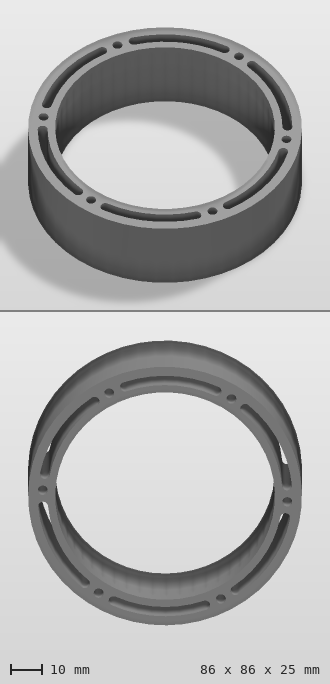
import cadquery as cq
import math

outer_diameter = 86.0
bore_diameter = 69.0
height = 25.0

pitch_radius = 38.4
hole_diameter = 3.1
slot_width = hole_diameter
station_count = 6
station_step = 360.0 / station_count
first_hole_angle = 90.0
first_slot_angle = first_hole_angle - station_step / 2
slot_half_span = 22.0


def polar(radius, angle):
    """Point at a radius and an angle in degrees about the ring axis."""
    return radius * math.cos(math.radians(angle)), radius * math.sin(math.radians(angle))


def curved_slot(middle_angle):
    """Through-cutter along the pitch circle with round ends."""
    inner = pitch_radius - slot_width / 2
    outer = pitch_radius + slot_width / 2
    start = middle_angle - slot_half_span
    end = middle_angle + slot_half_span
    tip = 2 * math.degrees(math.asin(slot_width / 4 / pitch_radius))
    return (
        cq.Workplane("XY")
        .moveTo(*polar(outer, start))
        .threePointArc(polar(outer, middle_angle), polar(outer, end))
        .threePointArc(polar(pitch_radius, end + tip), polar(inner, end))
        .threePointArc(polar(inner, middle_angle), polar(inner, start))
        .threePointArc(polar(pitch_radius, start - tip), polar(outer, start))
        .close()
        .extrude(height)
    )


result = (
    cq.Workplane("XY")
    .circle(outer_diameter / 2)
    .circle(bore_diameter / 2)
    .extrude(height)
)

holes = (
    cq.Workplane("XY")
    .polarArray(pitch_radius, first_hole_angle, 360, station_count)
    .circle(hole_diameter / 2)
    .extrude(height)
)
result = result.cut(holes)

for station in range(station_count):
    result = result.cut(curved_slot(first_slot_angle + station * station_step))